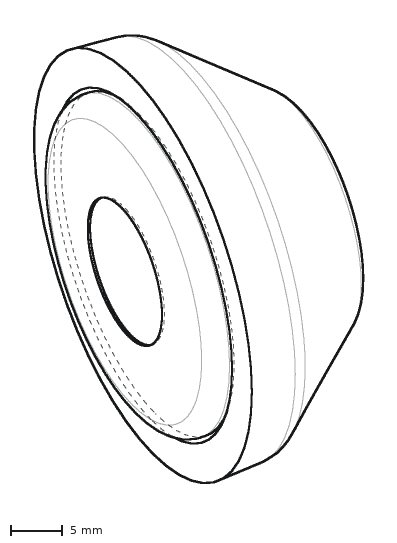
import cadquery as cq
import math

rim_diameter = 44.0
body_depth = 18.05
shoulder_depth = 5.7
back_diameter = 23.75
side_draft_angle = 4.0
body_fillet = 2.5

pad_diameter = 35.0
pad_height = 2.0
pad_fillet = 2.0
groove_diameter = 36.0
groove_depth = (groove_diameter - pad_diameter) / 2

recess_diameter = 15.0
recess_depth = 0.25


def cylinder(diameter, start_y, end_y):
    """Solid cylinder along +Y between two Y positions."""
    plane = cq.Workplane("XZ", origin=(0, start_y, 0))
    return plane.circle(diameter / 2).extrude(start_y - end_y)


def make_body():
    """Drafted rim and cone with both outer corners rounded."""
    rim_radius = rim_diameter / 2
    shoulder_radius = rim_radius - shoulder_depth * math.tan(math.radians(side_draft_angle))
    profile = (
        cq.Workplane("XY")
        .lineTo(rim_radius, 0)
        .lineTo(shoulder_radius, shoulder_depth)
        .lineTo(back_diameter / 2, body_depth)
        .lineTo(0, body_depth)
        .close()
    )
    body = profile.revolve(360, (0, 0, 0), (0, 1, 0))
    rounded_corners = cq.selectors.BoxSelector(
        (-rim_diameter, shoulder_depth / 2, -rim_diameter),
        (rim_diameter, body_depth + 0.45, rim_diameter),
    )
    corner_edges = body.edges("%CIRCLE").edges(rounded_corners)
    return corner_edges.fillet(body_fillet)


def make_pad():
    """Pad from the groove bottom to the front, its front edge rounded."""
    foot = cylinder(pad_diameter, 0, groove_depth)
    radius = pad_diameter / 2
    flat_radius = radius - pad_fillet
    arc_offset = pad_fillet * math.sqrt(0.5)
    arc_middle = (flat_radius + arc_offset, pad_fillet - pad_height - arc_offset)
    front = (
        cq.Workplane("XY")
        .lineTo(radius, 0)
        .threePointArc(arc_middle, (flat_radius, -pad_height))
        .lineTo(0, -pad_height)
        .close()
        .revolve(360, (0, 0, 0), (0, 1, 0))
    )
    return foot.union(front)


def make_groove_pocket():
    """Cone frustum narrowing from the groove mouth to the pad side."""
    profile = (
        cq.Workplane("XY")
        .lineTo(groove_diameter / 2, 0)
        .lineTo(pad_diameter / 2, groove_depth)
        .lineTo(0, groove_depth)
        .close()
    )
    return profile.revolve(360, (0, 0, 0), (0, 1, 0))


recess = cylinder(recess_diameter, -pad_height, -pad_height + recess_depth)
result = make_body().cut(make_groove_pocket()).union(make_pad()).cut(recess)